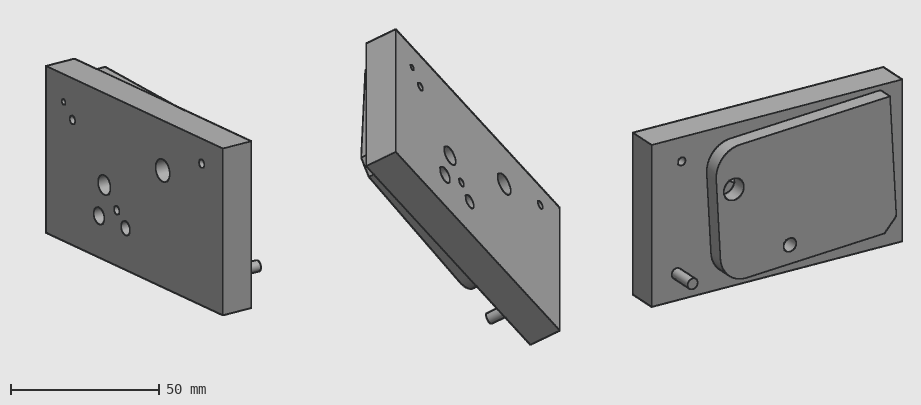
import cadquery as cq

plate_length = 100.0
plate_thickness = 12.0
plate_height = 60.0

post_diameter = 4.0
post_x = 90.0
post_z = 10.0
total_depth = 22.0

plate_holes = [
    (10.0, 50.0, 2.0),
    (15.0, 45.0, 3.0),
    (40.0, 20.0, 3.0),
    (88.0, 51.0, 3.0),
    (30.0, 15.0, 6.0),
    (33.0, 27.0, 7.0),
    (45.0, 15.0, 5.0),
    (66.0, 42.0, 8.0),
]

cover_gap = 0.3
cover_thickness = 6.0
cover_width = 70.0
cover_height = 50.0
cover_corner_x = 8.9
cover_corner_z = 58.3
cover_tilt_degrees = 3.2
cover_round_radius = 10.0
cover_chamfer = 5.0

cover_holes = [
    (63.3, 15.8, 8.0),
    (42.4, 43.0, 5.0),
]


def rod(x, z, diameter, start_y, length):
    """Cylinder along +Y."""
    return cq.Workplane("XZ", origin=(x, start_y, z)).circle(diameter / 2).extrude(-length)


def make_plate():
    plate = cq.Workplane("XY").box(plate_length, plate_thickness, plate_height, centered=False)
    for x, z, diameter in plate_holes:
        plate = plate.cut(rod(x, z, diameter, 0, plate_thickness))
    post = rod(post_x, post_z, post_diameter, plate_thickness, total_depth - plate_thickness)
    return plate.union(post)


def make_cover():
    """Rectangle with a chamfered lower left corner and two rounded right corners, then tilted."""
    start_y = plate_thickness + cover_gap
    bottom_z = cover_corner_z - cover_height
    cover = cq.Workplane("XY", origin=(cover_corner_x, start_y, bottom_z)).box(
        cover_width, cover_thickness, cover_height, centered=False
    )
    cover = cover.edges("|Y and >X").fillet(cover_round_radius)
    cover = cover.edges(cq.NearestToPointSelector((cover_corner_x, start_y + cover_thickness / 2, bottom_z)))
    cover = cover.chamfer(cover_chamfer)
    for across, down, diameter in cover_holes:
        hole = rod(cover_corner_x + across, cover_corner_z - down, diameter, start_y, cover_thickness)
        cover = cover.cut(hole)
    pivot = (cover_corner_x, 0, cover_corner_z)
    pivot_axis_end = (cover_corner_x, 1, cover_corner_z)
    return cover.rotate(pivot, pivot_axis_end, cover_tilt_degrees)


plate = make_plate()
cover = make_cover()
result = cq.Compound.makeCompound([plate.val(), cover.val()])